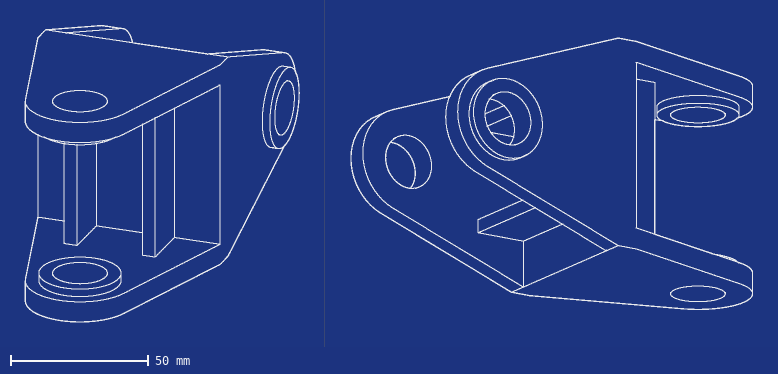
import cadquery as cq
import math

length = 148.0
boss_span = 77.0
body_height = 79.0

plate = 8.0
lug_radius = 20.0
hole_diameter = 20.0
boss_diameter = 30.0
boss_height = 3.0

rib_thickness = 5.0
rib_length = 19.7
front_rib_gap = 25.5
rear_rib_gap = 34.0

body_width = boss_span - 2 * boss_height
inner_width = body_width - 2 * plate
inner_height = body_height - 2 * plate
pivot_distance = length / 2 - lug_radius


def lug_solid(plane, root_half_width):
    """Tapered lug in local coordinates: root at x = 0, pointing along +x."""
    wall = plate / 2
    run = pivot_distance - wall
    corner_distance = math.hypot(run, root_half_width)
    taper = math.asin(lug_radius / corner_distance) - math.atan2(root_half_width, run)
    lean = -taper
    tangent_x = pivot_distance + lug_radius * math.sin(lean)
    tangent_y = lug_radius * math.cos(lean)
    return (
        cq.Workplane(plane)
        .moveTo(-wall, -root_half_width)
        .lineTo(wall, -root_half_width)
        .lineTo(tangent_x, -tangent_y)
        .threePointArc((length / 2, 0), (tangent_x, tangent_y))
        .lineTo(wall, root_half_width)
        .lineTo(-wall, root_half_width)
        .close()
        .extrude(plate)
    )


def pivot_cylinder(plane, diameter, height):
    return cq.Workplane(plane).center(pivot_distance, 0).circle(diameter / 2).extrude(height)


def lug_plane(origin, direction, normal):
    return cq.Plane(origin=origin, xDir=direction, normal=normal)


result = cq.Workplane("XY").box(body_width, plate, body_height)

for side in (-1, 1):
    inner_face = lug_plane((0, 0, side * inner_height / 2), (0, -1, 0), (0, 0, side))
    boss_face = lug_plane((0, 0, side * inner_height / 2), (0, -1, 0), (0, 0, -side))
    result = result.union(lug_solid(inner_face, body_width / 2))
    result = result.union(pivot_cylinder(boss_face, boss_diameter, boss_height))

    inner_face = lug_plane((side * inner_width / 2, 0, 0), (0, 1, 0), (side, 0, 0))
    boss_face = lug_plane((side * body_width / 2, 0, 0), (0, 1, 0), (side, 0, 0))
    result = result.union(lug_solid(inner_face, body_height / 2))
    result = result.union(pivot_cylinder(boss_face, boss_diameter, boss_height))

    rib_centre = plate / 2 + rib_length / 2
    front_offset = side * (front_rib_gap + rib_thickness) / 2
    rear_offset = side * (rear_rib_gap + rib_thickness) / 2
    front_rib = cq.Workplane("XY").box(rib_thickness, rib_length, inner_height)
    rear_rib = cq.Workplane("XY").box(inner_width, rib_length, rib_thickness)
    result = result.union(front_rib.translate((front_offset, -rib_centre, 0)))
    result = result.union(rear_rib.translate((0, rib_centre, rear_offset)))

front_axis = lug_plane((0, 0, -body_height / 2), (0, -1, 0), (0, 0, 1))
rear_axis = lug_plane((-boss_span / 2, 0, 0), (0, 1, 0), (1, 0, 0))
result = result.cut(pivot_cylinder(front_axis, hole_diameter, body_height))
result = result.cut(pivot_cylinder(rear_axis, hole_diameter, boss_span))